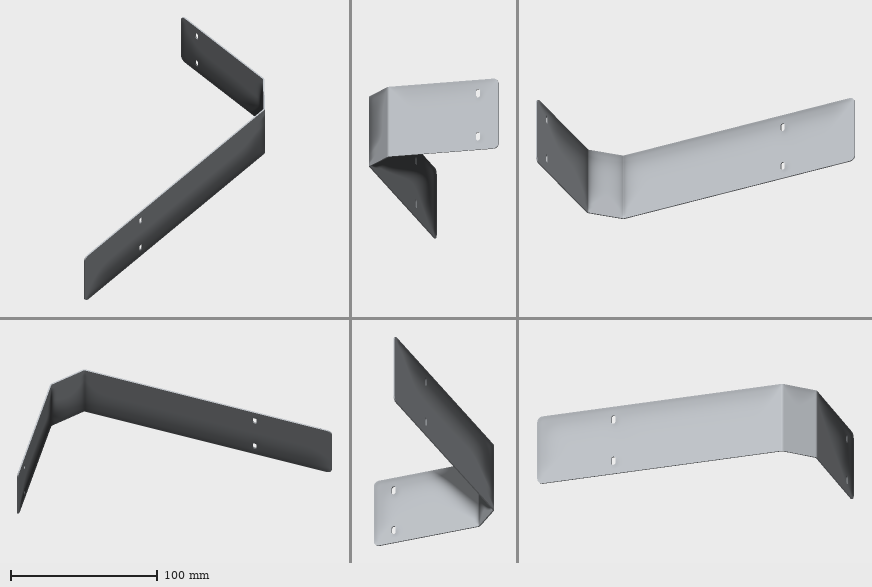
import cadquery as cq
import math

width_x = 97.0
depth_y = 196.0
height = 50.0
sheet = 1.0

corner_setback = 18.6
inner_bend_radius = 1.5
outer_bend_radius = inner_bend_radius + sheet
bend_angle = 45.0

end_corner_radius = 4.0

slot_length = 6.0
slot_width = 3.0
slot_spacing = 30.8
short_leg_slot_inset = 14.7
long_leg_slot_inset = 55.0
cutter_depth = 4 * sheet

inner_setback = corner_setback + sheet * math.tan(math.radians(bend_angle / 2))


def bent_strip():
    """Strip profile in plan, extruded upright with rounded bends."""
    profile = [
        (0, depth_y),
        (width_x - corner_setback, depth_y),
        (width_x, depth_y - corner_setback),
        (width_x, 0),
        (width_x - sheet, 0),
        (width_x - sheet, depth_y - inner_setback),
        (width_x - inner_setback, depth_y - sheet),
        (0, depth_y - sheet),
    ]
    strip = cq.Workplane("XY").polyline(profile).close().extrude(height)
    half_height = height / 2
    outer_bends = [
        (width_x - corner_setback, depth_y, half_height),
        (width_x, depth_y - corner_setback, half_height),
    ]
    inner_bends = [
        (width_x - inner_setback, depth_y - sheet, half_height),
        (width_x - sheet, depth_y - inner_setback, half_height),
    ]
    for point in outer_bends:
        strip = strip.edges(cq.NearestToPointSelector(point)).fillet(outer_bend_radius)
    for point in inner_bends:
        strip = strip.edges(cq.NearestToPointSelector(point)).fillet(inner_bend_radius)
    return strip


def slot_pair(plane, center):
    """Cutters for two vertical slots, centered through the sheet."""
    offsets = [(0, -slot_spacing / 2), (0, slot_spacing / 2)]
    return (
        cq.Workplane(plane, origin=center)
        .pushPoints(offsets)
        .slot2D(slot_length, slot_width, 90)
        .extrude(cutter_depth / 2, both=True)
    )


short_leg_slots = slot_pair("XZ", (short_leg_slot_inset, depth_y - sheet / 2, height / 2))
long_leg_slots = slot_pair("YZ", (width_x - sheet / 2, long_leg_slot_inset, height / 2))

strip = bent_strip()
strip = strip.faces("<X").edges("|Y").fillet(end_corner_radius)
strip = strip.faces("<Y").edges("|X").fillet(end_corner_radius)
result = strip.cut(short_leg_slots).cut(long_leg_slots)